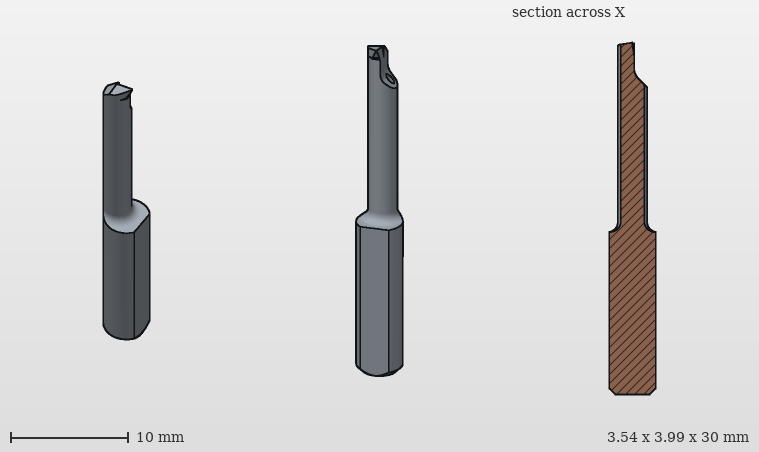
import cadquery as cq
import math

total_length = 30.0
shank_radius = 1.995
shank_length = 13.8
foot_chamfer = 0.5
flat_x = 1.545

neck_radius = 1.25
neck_x = -0.95
neck_right_x = neck_x + neck_radius
root_fillet = 0.8

hole_diameter = 0.7
hole_x = -1.08
hole_y = 0.63

face_y = 0.15
face_bottom_z = 27.65
runout_radius = 1.17
runout_angle = math.radians(45)

tip_x = 0.57
tip_land_y = -0.2
tip_land_height = 0.2
tip_neck_z = 29.15
tip_bottom_z = 29.0
rake_edge_y = -0.045
rake_bottom_z = 28.8
rake_left_x = -0.8

end_corner_x = -0.95
end_corner_z = 29.75
back_edge_z = 28.8
end_relief_angle = 8.0

margin = 3.0


def make_shank():
    shank = cq.Workplane("XY").circle(shank_radius).extrude(shank_length)
    shank = shank.faces("<Z").chamfer(foot_chamfer)
    flat = cq.Workplane("XY").box(margin, 4 * shank_radius, total_length, centered=(False, True, False))
    return shank.cut(flat.translate((flat_x, 0, 0)))


def make_neck():
    """Revolve the neck with its flared root, then trim it to the shank envelope."""
    fillet_center_x = neck_radius + root_fillet
    fillet_center_z = shank_length + root_fillet
    fillet_offset = root_fillet * math.sqrt(0.5)
    neck = (
        cq.Workplane("XZ")
        .moveTo(0, shank_length - margin)
        .lineTo(fillet_center_x, shank_length - margin)
        .lineTo(fillet_center_x, shank_length)
        .threePointArc(
            (fillet_center_x - fillet_offset, fillet_center_z - fillet_offset),
            (neck_radius, fillet_center_z),
        )
        .lineTo(neck_radius, total_length)
        .lineTo(0, total_length)
        .close()
        .revolve(360, (0, 0, 0), (0, 1, 0))
        .translate((neck_x, 0, 0))
    )
    envelope = cq.Workplane("XY").circle(shank_radius).extrude(total_length)
    above_foot = envelope.translate((0, 0, shank_length - margin))
    return neck.intersect(above_foot)


def make_tip():
    """Cutting tip whose outer flank runs tangent into the neck."""
    reach = math.hypot(tip_x - neck_x, tip_land_y)
    bearing = math.atan2(tip_land_y, tip_x - neck_x)
    tangent_angle = bearing - math.acos(neck_radius / reach)
    tangent_point = (
        neck_x + neck_radius * math.cos(tangent_angle),
        neck_radius * math.sin(tangent_angle),
    )
    plan = (
        cq.Workplane("XY", origin=(0, 0, tip_bottom_z))
        .polyline([(neck_x, face_y), (tip_x, face_y), (tip_x, tip_land_y), tangent_point])
        .close()
        .extrude(total_length - tip_bottom_z)
    )
    side = (
        cq.Workplane("XZ")
        .polyline([
            (neck_x, tip_bottom_z),
            (neck_right_x, tip_bottom_z),
            (neck_right_x, tip_neck_z),
            (tip_x, total_length - tip_land_height),
            (tip_x, total_length),
            (neck_x, total_length),
        ])
        .close()
        .extrude(margin, both=True)
    )
    return plan.intersect(side)


def make_face_cutter():
    """Open the +Y half of the neck near the tip."""
    arc_end_y = face_y + runout_radius * (1 - math.cos(runout_angle))
    arc_end_z = face_bottom_z - runout_radius * math.sin(runout_angle)
    arc_mid = (
        face_y + runout_radius * (1 - math.cos(runout_angle / 2)),
        face_bottom_z - runout_radius * math.sin(runout_angle / 2),
    )
    outer_y = face_y + margin
    outer_z = arc_end_z - (outer_y - arc_end_y) / math.tan(runout_angle)
    return (
        cq.Workplane("YZ")
        .moveTo(face_y, total_length + margin)
        .lineTo(face_y, face_bottom_z)
        .threePointArc(arc_mid, (arc_end_y, arc_end_z))
        .lineTo(outer_y, outer_z)
        .lineTo(outer_y, total_length + margin)
        .close()
        .extrude(margin, both=True)
    )


def make_rake_cutter():
    """Tilted rake face behind the cutting edge."""
    return (
        cq.Workplane("YZ", origin=(rake_left_x, 0, 0))
        .polyline([
            (face_y, rake_bottom_z),
            (rake_edge_y, total_length),
            (face_y, total_length),
        ])
        .close()
        .extrude(margin)
    )


def make_end_cutter():
    """End and back relief planes, tilted together about the cutting edge."""
    back_slope = (end_corner_z - back_edge_z) / (end_corner_x + shank_radius)
    end_slope = (total_length - end_corner_z) / (tip_x - end_corner_x)
    left_x = -shank_radius - margin
    right_x = tip_x + margin
    return (
        cq.Workplane("XZ")
        .polyline([
            (left_x, back_edge_z - margin * back_slope),
            (end_corner_x, end_corner_z),
            (right_x, total_length + margin * end_slope),
            (right_x, total_length + margin),
            (left_x, total_length + margin),
        ])
        .close()
        .extrude(margin, both=True)
        .translate((0, rake_edge_y, 0))
        .rotate((0, rake_edge_y, total_length), (1, rake_edge_y, total_length), end_relief_angle)
    )


coolant_hole = cq.Workplane("XY").center(hole_x, hole_y).circle(hole_diameter / 2).extrude(total_length)

body = make_shank().union(make_neck()).union(make_tip())
for cutter in (make_face_cutter(), make_rake_cutter(), make_end_cutter(), coolant_hole):
    body = body.cut(cutter)

result = body